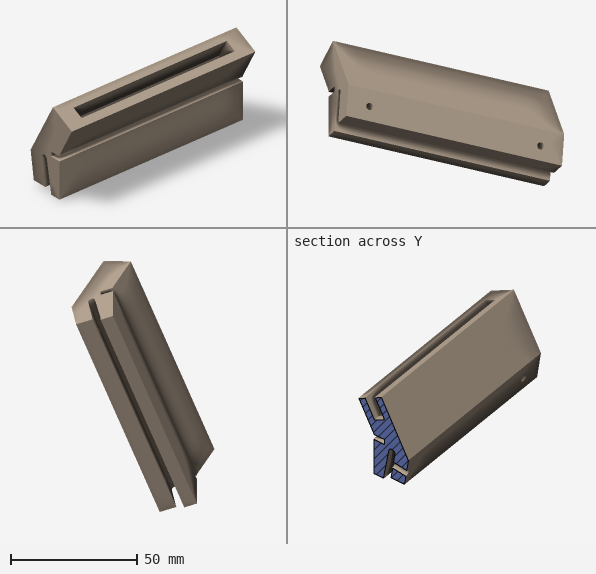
import cadquery as cq
import math

length = 96.0
width = 25.1
height = 40.7

bend_height = 15.2
top_corner_x = 13.5

back_x = 17.6
long_leg_thickness = 5.3
long_leg_step = 1.4
short_leg_bottom = 2.0
short_leg_shift = 1.9
short_leg_thickness = 7.0

gap_radius = 1.4
gap_center_z = 15.2

groove_bottom = 17.6
groove_width = 2.3
groove_depth = 5.3

pocket_length = 80.1
pocket_width = 5.5
pocket_depth = 10.0

hole_diameter = 3.0
hole_end_distance = 10.0
hole_z = 8.1

tilt = math.atan2(top_corner_x, height - bend_height)
leg_tilt = math.atan2(short_leg_shift, bend_height - short_leg_bottom)
end_corner_z = height - (width - top_corner_x) * math.tan(tilt)
back_bend_z = end_corner_z - (width - back_x) / math.tan(tilt)


def make_body():
    gap_left = short_leg_thickness
    gap_center_x = gap_left + gap_radius
    return (
        cq.Workplane("XZ")
        .moveTo(0, bend_height)
        .lineTo(top_corner_x, height)
        .lineTo(width, end_corner_z)
        .lineTo(back_x, back_bend_z)
        .lineTo(back_x, 0)
        .lineTo(back_x - long_leg_thickness, 0)
        .lineTo(back_x - long_leg_thickness, long_leg_step)
        .lineTo(gap_center_x + gap_radius, gap_center_z)
        .threePointArc((gap_center_x, gap_center_z + gap_radius), (gap_left, gap_center_z))
        .lineTo(short_leg_shift + short_leg_thickness, short_leg_bottom)
        .lineTo(short_leg_shift, short_leg_bottom)
        .close()
        .extrude(length / 2, both=True)
    )


def make_groove():
    return (
        cq.Workplane("XY")
        .box(groove_depth, length, groove_width, centered=(False, True, False))
        .translate((back_x - groove_depth, 0, groove_bottom))
    )


def make_pocket():
    end_face = cq.Plane(
        origin=((top_corner_x + width) / 2, 0, (height + end_corner_z) / 2),
        xDir=(math.cos(tilt), 0, -math.sin(tilt)),
        normal=(math.sin(tilt), 0, math.cos(tilt)),
    )
    return cq.Workplane(end_face).rect(pocket_width, pocket_length).extrude(-pocket_depth)


def make_hole(y):
    """Hole square to the outer face of the short leg, ending in the gap."""
    face_x = (bend_height - hole_z) * math.tan(leg_tilt)
    inward = cq.Vector(math.cos(leg_tilt), 0, math.sin(leg_tilt))
    entry = cq.Vector(face_x, y, hole_z)
    leg_normal_thickness = short_leg_thickness * math.cos(leg_tilt)
    overshoot = gap_radius / 2
    return cq.Workplane(
        cq.Solid.makeCylinder(
            hole_diameter / 2,
            leg_normal_thickness + 2 * overshoot,
            entry - inward * overshoot,
            inward,
        )
    )


result = make_body().cut(make_groove()).cut(make_pocket())
for side in (-1, 1):
    result = result.cut(make_hole(side * (length / 2 - hole_end_distance)))